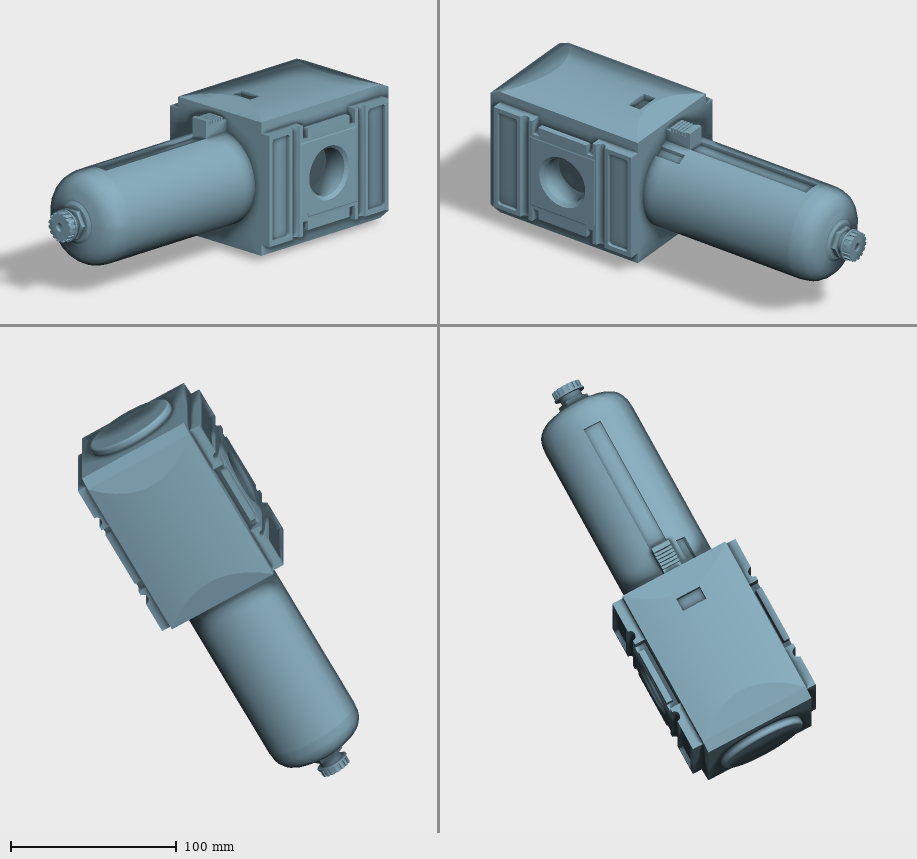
import cadquery as cq
import math


OVERALL_LENGTH = 252.0
OVERALL_WIDTH = 85.0

CORE_WIDTH = 70.8
CORE_HEIGHT = 85.0
CROWN_HEIGHT = 93.2
HOUSING_LENGTH = 102.3
FRONT_Y = -HOUSING_LENGTH / 2
CHEEK_BACK_Y = HOUSING_LENGTH / 2
BACK_Y = 58.2
BACK_HEIGHT = 79.1
BEVEL_LENGTH = 16.0

CAP_DIAMETER = 55.0
CAP_END_Y = 63.0
CAP_FILLET = 1.5

PAD_HEIGHT = 0.3
CHEEK_FACE_X = OVERALL_WIDTH / 2 - PAD_HEIGHT
CHEEK_HEIGHT = 70.5
CORE_SIDE_X = CORE_WIDTH / 2

GROOVE_Y = 28.2
GROOVE_RADIUS = 6.3 / 2
PANEL_Y = 41.0
PANEL_WIDTH = 14.5
PANEL_HEIGHT = 64.8
PANEL_DEPTH = 2.5
PANEL_CORNER_RADIUS = 2.0

CHANNEL_HALF_WIDTH = 22.5
CHANNEL_FLOOR_Z = 26.2
LUG_HALF_WIDTH = 18.0
LUG_TOP_Z = 32.3
LUG_TOP_THICKNESS = 3.8
LUG_ROOT_THICKNESS = 4.5

PAD_SIZE = 48.5
PAD_BEVEL = 0.8
PAD_CUT_Y = -18.0
PAD_CUT_Z = -21.7

PORT_DIAMETER = 30.2
PORT_CHAMFER = 2.0
PORT_DEPTH = 17.6

LABEL_LENGTH = 16.1
LABEL_WIDTH = 8.5
LABEL_Y = -29.0
LABEL_FLOOR_Z = 41.8

BOWL_RADIUS = 60.0 / 2
DOME_START_Y = -159.0
DOME_SHOULDER_RADIUS = 21.2
DOME_SHOULDER_Y = -173.6
DOME_EDGE_RADIUS = 14.0
DOME_EDGE_Y = -175.5
DOME_EDGE_SLOPE = 0.2

BUTTON_WIDTH = 11.5
BUTTON_END_Y = -68.8
SLOT_END_Y = -155.2
SLOT_FLOOR_RADIUS = 55.0 / 2
NOTCH_WALL_X = -10.8
NOTCH_OUTER_EDGE_X = -17.1
NOTCH_OUTER_DEPTH = 2.8
NOTCH_TILT = 34.0

BUTTON_TOP_Z = 40.5
BUTTON_BASE_Z = 37.5
RIDGE_TOP_Z = 39.8
RIDGE_COUNT = 5
RIDGE_PITCH = 2.3
RIDGE_WIDTH = 1.5
STOP_LENGTH = 3.0

COLLAR_BASE_RADIUS = 27.0 / 2
COLLAR_RADIUS = 23.0 / 2
COLLAR_END_Y = -176.7
NUT_ACROSS_CORNERS = 19.7
NUT_END_Y = -179.5
NECK_RADIUS = 14.0 / 2
KNOB_Y = -183.5
KNOB_RIM_RADIUS = 20.0 / 2
KNOB_RIM_END_Y = -184.5
KNOB_RADIUS = 18.6 / 2
TIP_Y = CAP_END_Y - OVERALL_LENGTH
FLUTE_COUNT = 16
FLUTE_WIDTH = 1.8
FLUTE_DEPTH = 1.0
DRAIN_HOLE_DIAMETER = 4.0
DRAIN_HOLE_DEPTH = 7.5
DRAIN_HOLE_CHAMFER = 0.8


def block(x_range, y_range, z_range):
    """Box between two coordinates on each axis."""
    (x0, x1), (y0, y1), (z0, z1) = x_range, y_range, z_range
    return cq.Workplane("XY").box(x1 - x0, y1 - y0, z1 - z0, centered=False).translate((x0, y0, z0))


def rod(radius, start_y, end_y):
    """Cylinder on the bowl axis, running toward -Y from start_y to end_y."""
    return cq.Workplane("XZ", origin=(0, start_y, 0)).circle(radius).extrude(start_y - end_y)


def housing_core():
    """Block with crowned top and bottom, bevelled at both ends."""
    half_width, half_height, crown_z = CORE_WIDTH / 2, CORE_HEIGHT / 2, CROWN_HEIGHT / 2
    crowned = (
        cq.Workplane("XZ", origin=(0, BACK_Y, 0))
        .moveTo(-half_width, -half_height)
        .lineTo(-half_width, half_height)
        .threePointArc((0, crown_z), (half_width, half_height))
        .lineTo(half_width, -half_height)
        .threePointArc((0, -crown_z), (-half_width, -half_height))
        .close()
        .extrude(BACK_Y - FRONT_Y)
    )
    upper_outline = [
        (FRONT_Y, half_height),
        (FRONT_Y + BEVEL_LENGTH, crown_z),
        (CHEEK_BACK_Y - BEVEL_LENGTH, crown_z),
        (CHEEK_BACK_Y, half_height),
        (BACK_Y, BACK_HEIGHT / 2),
    ]
    lower_outline = [(y, -z) for y, z in reversed(upper_outline)]
    side_outline = cq.Workplane("YZ").polyline(upper_outline + lower_outline).close()
    return crowned.intersect(side_outline.extrude(half_width, both=True))


def back_cap():
    return rod(CAP_DIAMETER / 2, CAP_END_Y, BACK_Y).faces(">Y").edges().fillet(CAP_FILLET)


def lug_channel():
    """Space cut around the upper lug of the +X cheek."""
    channel = block(
        (CORE_SIDE_X, CHEEK_FACE_X),
        (-CHANNEL_HALF_WIDTH, CHANNEL_HALF_WIDTH),
        (CHANNEL_FLOOR_Z, CHEEK_HEIGHT / 2),
    )
    lug = (
        cq.Workplane("XZ", origin=(0, LUG_HALF_WIDTH, 0))
        .polyline([
            (CHEEK_FACE_X, CHANNEL_FLOOR_Z),
            (CHEEK_FACE_X, LUG_TOP_Z),
            (CHEEK_FACE_X - LUG_TOP_THICKNESS, LUG_TOP_Z),
            (CHEEK_FACE_X - LUG_ROOT_THICKNESS, CHANNEL_FLOOR_Z),
        ])
        .close()
        .extrude(2 * LUG_HALF_WIDTH)
    )
    return channel.cut(lug)


def port_pad():
    """Thin bevelled square around the +X port, with its lower front corner removed."""
    pad = (
        cq.Workplane("YZ", origin=(CHEEK_FACE_X, 0, 0))
        .rect(PAD_SIZE, PAD_SIZE)
        .extrude(PAD_HEIGHT, taper=math.degrees(math.atan2(PAD_BEVEL, PAD_HEIGHT)))
    )
    corner = block(
        (CHEEK_FACE_X, OVERALL_WIDTH / 2), (-PAD_SIZE, PAD_CUT_Y), (-PAD_SIZE, PAD_CUT_Z)
    )
    return pad.cut(corner)


def cheek():
    """Raised plate on the +X side with its grooves, panels, lugs and pad."""
    plate = block(
        (CORE_SIDE_X, CHEEK_FACE_X), (FRONT_Y, CHEEK_BACK_Y), (-CHEEK_HEIGHT / 2, CHEEK_HEIGHT / 2)
    )
    grooves = (
        cq.Workplane("XY", origin=(CHEEK_FACE_X, 0, 0))
        .pushPoints([(0, -GROOVE_Y), (0, GROOVE_Y)])
        .circle(GROOVE_RADIUS)
        .extrude(CHEEK_HEIGHT / 2, both=True)
    )
    panels = (
        cq.Workplane("YZ", origin=(CHEEK_FACE_X - PANEL_DEPTH, 0, 0))
        .pushPoints([(-PANEL_Y, 0), (PANEL_Y, 0)])
        .rect(PANEL_WIDTH, PANEL_HEIGHT)
        .extrude(PANEL_DEPTH)
        .edges("|X")
        .fillet(PANEL_CORNER_RADIUS)
    )
    channel = lug_channel()
    return plate.cut(grooves).cut(panels).cut(channel).cut(channel.mirror("XY")).union(port_pad())


def port_bore():
    """Blind bore of the +X port with a chamfered mouth."""
    mouth_x = OVERALL_WIDTH / 2
    radius = PORT_DIAMETER / 2
    return (
        cq.Workplane("XY")
        .polyline([
            (mouth_x, 0),
            (mouth_x, radius + PORT_CHAMFER),
            (mouth_x - PORT_CHAMFER, radius),
            (mouth_x - PORT_DEPTH, radius),
            (mouth_x - PORT_DEPTH, 0),
        ])
        .close()
        .revolve(360, (0, 0, 0), (1, 0, 0))
    )


def label_recess():
    return block(
        (-LABEL_LENGTH / 2, LABEL_LENGTH / 2),
        (LABEL_Y - LABEL_WIDTH / 2, LABEL_Y + LABEL_WIDTH / 2),
        (LABEL_FLOOR_Z, CROWN_HEIGHT / 2),
    )


def make_housing():
    right_cheek = cheek()
    right_port = port_bore()
    body = housing_core().union(back_cap())
    body = body.union(right_cheek).union(right_cheek.mirror("YZ"))
    return body.cut(right_port).cut(right_port.mirror("YZ")).cut(label_recess())


def bowl_shell():
    """Round bowl with a dished end that runs into a conical collar."""
    dome = [(DOME_SHOULDER_RADIUS, DOME_SHOULDER_Y), (DOME_EDGE_RADIUS, DOME_EDGE_Y)]
    return (
        cq.Workplane("XY")
        .moveTo(0, FRONT_Y)
        .lineTo(BOWL_RADIUS, FRONT_Y)
        .lineTo(BOWL_RADIUS, DOME_START_Y)
        .spline(dome, tangents=[(0, -1), (-1, -DOME_EDGE_SLOPE)], includeCurrent=True)
        .lineTo(COLLAR_BASE_RADIUS, DOME_EDGE_Y)
        .lineTo(COLLAR_RADIUS, COLLAR_END_Y)
        .lineTo(0, COLLAR_END_Y)
        .close()
        .revolve(360, (0, 0, 0), (0, 1, 0))
    )


def top_slot():
    """Long slot with a round floor, along the top of the bowl."""
    slot = block(
        (-BUTTON_WIDTH / 2, BUTTON_WIDTH / 2), (SLOT_END_Y, BUTTON_END_Y), (0, BOWL_RADIUS)
    )
    return slot.cut(rod(SLOT_FLOOR_RADIUS, BUTTON_END_Y, SLOT_END_Y))


def locator_notch():
    """Notch beside the button: tilted floor, upright inner wall, outer wall square to the floor."""
    tilt = math.radians(NOTCH_TILT)
    edge_z = math.sqrt(BOWL_RADIUS**2 - NOTCH_OUTER_EDGE_X**2)
    floor_x = NOTCH_OUTER_EDGE_X + NOTCH_OUTER_DEPTH * math.sin(tilt)
    floor_z = edge_z - NOTCH_OUTER_DEPTH * math.cos(tilt)
    wall_floor_z = floor_z + (NOTCH_WALL_X - floor_x) * math.tan(tilt)
    return (
        cq.Workplane("XZ", origin=(0, FRONT_Y, 0))
        .polyline([
            (NOTCH_WALL_X, BOWL_RADIUS),
            (NOTCH_WALL_X, wall_floor_z),
            (floor_x, floor_z),
            (NOTCH_OUTER_EDGE_X, edge_z),
            (NOTCH_OUTER_EDGE_X, BOWL_RADIUS),
        ])
        .close()
        .extrude(FRONT_Y - BUTTON_END_Y)
    )


def release_button():
    """Button with an end stop and a row of grip ridges."""
    x_range = (-BUTTON_WIDTH / 2, BUTTON_WIDTH / 2)
    stop_y = BUTTON_END_Y + STOP_LENGTH
    button = block(x_range, (BUTTON_END_Y, FRONT_Y), (SLOT_FLOOR_RADIUS, BUTTON_BASE_Z))
    button = button.union(block(x_range, (BUTTON_END_Y, stop_y), (SLOT_FLOOR_RADIUS, BUTTON_TOP_Z)))
    for index in range(RIDGE_COUNT):
        ridge_end_y = stop_y + (index + 1) * RIDGE_PITCH
        ridge_y_range = (ridge_end_y - RIDGE_WIDTH, ridge_end_y)
        button = button.union(block(x_range, ridge_y_range, (BUTTON_BASE_Z, RIDGE_TOP_Z)))
    return button


def drain_knob():
    """Fluted knob with a plain rim toward the bowl."""
    knob = rod(KNOB_RADIUS, KNOB_Y, TIP_Y)
    flute = block(
        (-FLUTE_WIDTH / 2, FLUTE_WIDTH / 2),
        (TIP_Y, KNOB_RIM_END_Y),
        (KNOB_RADIUS - FLUTE_DEPTH, KNOB_RADIUS),
    )
    for index in range(FLUTE_COUNT):
        knob = knob.cut(flute.rotate((0, 0, 0), (0, 1, 0), index * 360 / FLUTE_COUNT))
    return knob.union(rod(KNOB_RIM_RADIUS, KNOB_Y, KNOB_RIM_END_Y))


def drain_valve():
    """Hexagon, neck and knob, with a central drain hole."""
    hexagon = (
        cq.Workplane("XZ", origin=(0, COLLAR_END_Y, 0))
        .polygon(6, NUT_ACROSS_CORNERS)
        .extrude(COLLAR_END_Y - NUT_END_Y)
    )
    valve = hexagon.union(rod(NECK_RADIUS, NUT_END_Y, KNOB_Y)).union(drain_knob())
    hole = rod(DRAIN_HOLE_DIAMETER / 2, TIP_Y + DRAIN_HOLE_DEPTH, TIP_Y)
    hole_edge = cq.selectors.RadiusNthSelector(0)
    return valve.cut(hole).faces("<Y").edges("%CIRCLE").edges(hole_edge).chamfer(DRAIN_HOLE_CHAMFER)


def make_bowl():
    shell = bowl_shell().cut(top_slot()).cut(locator_notch())
    return shell.union(release_button()).union(drain_valve())


housing = make_housing()
bowl = make_bowl()

result = cq.Compound.makeCompound([housing.val(), bowl.val()])